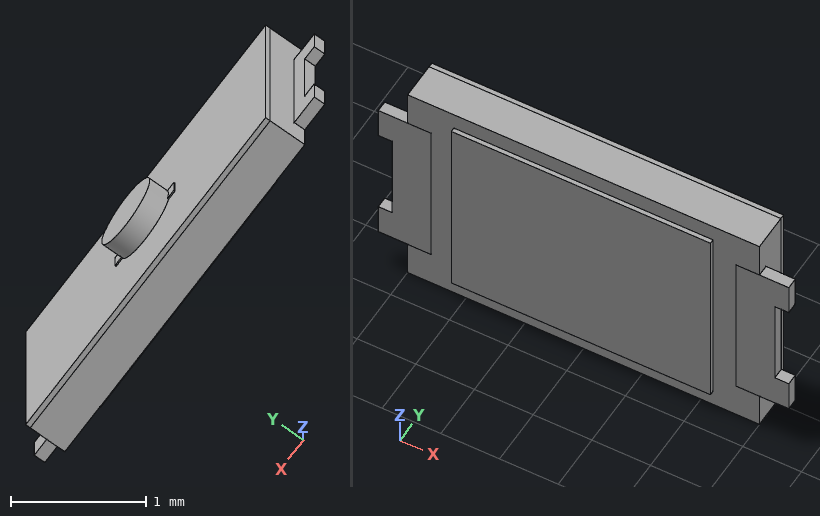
import cadquery as cq

overall_length = 3.5
overall_depth = 0.58

housing_length = 3.0
housing_height = 2.0
housing_depth = 0.32
cover_thickness = 0.042
cover_back = housing_depth + cover_thickness

plate_length = 2.21
plate_height = 1.7
plate_thickness = 0.04

terminal_length = 0.45
terminal_height = 1.36
terminal_thickness = 0.098
notch_depth = 0.12
notch_height = 0.798

button_diameter = 0.6
button_height = overall_depth - plate_thickness - cover_back
bar_length = 0.735
bar_height = 0.168
bar_thickness = 0.01


def slab(length, thickness, height, front):
    """Block centred on X and Z, reaching from Y = front toward +Y."""
    return cq.Workplane("XY").box(length, thickness, height).translate((0, front + thickness / 2, 0))


def make_terminal(side):
    """Terminal at the -X end (side = -1) or the +X end (side = 1)."""
    terminal_center = side * (overall_length - terminal_length) / 2
    notch_center = side * (overall_length - notch_depth) / 2
    blank = slab(terminal_length, terminal_thickness, terminal_height, 0).translate((terminal_center, 0, 0))
    notch = slab(notch_depth, terminal_thickness, notch_height, 0).translate((notch_center, 0, 0))
    return blank.cut(notch)


def make_housing(terminals):
    """Housing block with a matching recess for each terminal."""
    housing = slab(housing_length, housing_depth, housing_height, 0)
    for terminal in terminals:
        housing = housing.cut(terminal)
    return housing


def make_cover():
    return slab(housing_length, cover_thickness, housing_height, housing_depth)


def make_plate():
    return slab(plate_length, plate_thickness, plate_height, -plate_thickness)


def make_button():
    """Cylinder standing on the cover, joined to its foot bar."""
    cylinder = (
        cq.Workplane("XZ", origin=(0, cover_back, 0))
        .circle(button_diameter / 2)
        .extrude(-button_height)
    )
    bar = slab(bar_length, bar_thickness, bar_height, cover_back)
    return cylinder.union(bar)


terminals = [make_terminal(side) for side in (-1, 1)]
housing = make_housing(terminals)
cover = make_cover()
plate = make_plate()
button = make_button()

result = cq.Compound.makeCompound([
    housing.val(),
    cover.val(),
    plate.val(),
    button.val(),
    *[terminal.val() for terminal in terminals],
])